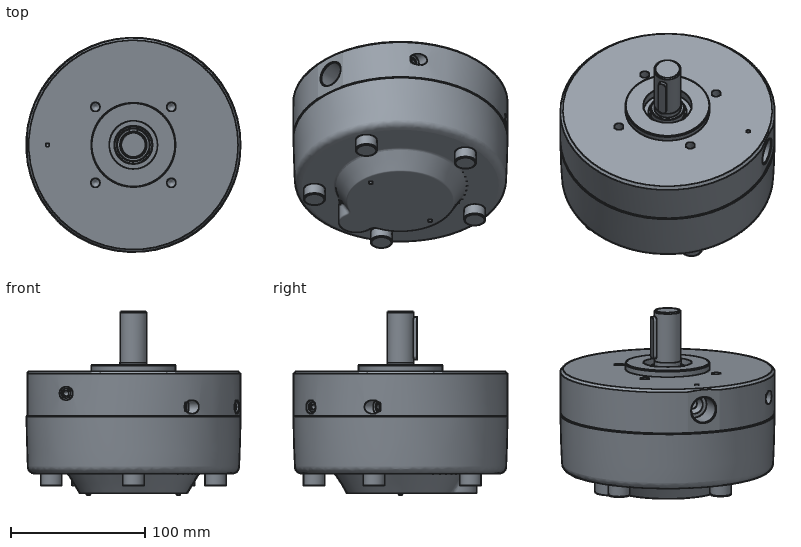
import cadquery as cq
import math

SHAFT_END_Z = 44.6
SPIGOT_HEIGHT = 5.0
JOINT_Z = -33.1
DRUM_BOTTOM_Z = -76.4
SCREW_END_Z = -85.5
HUB_BOTTOM_Z = -91.0
TOTAL_LENGTH = 137.1

BODY_RADIUS = 80.0
FLANGE_CHAMFER = 2.0
FLAT_DISTANCE = 79.0
SPIGOT_RADIUS = 31.5
SPIGOT_CHAMFER = 0.5
SPIGOT_CHAMFER_HEIGHT = 1.0

DRUM_TOP_CHAMFER = 0.5
DRUM_NECK_HEIGHT = 0.4
DRUM_MIDDLE_RADIUS = 79.5
DRUM_BOTTOM_RADIUS = 78.6
DRUM_FILLET = 5.5
HUB_TOP_RADIUS = 48.8
HUB_BOTTOM_RADIUS = 40.0
HUB_FLARE = 1.2
HUB_EDGE_FILLET = 1.3
LUG_RADIUS = 13.3
LUG_BLEND_RADIUS = 3.0
LUG_REACH = 57.0
NUB_RADIUS = 1.6
NUB_OFFSET = 33.5

SCREW_COUNT = 5
SCREW_PITCH_RADIUS = 64.4
SCREW_HEAD_RADIUS = 8.0
SCREW_CHAMFER = 0.7

SHAFT_RADIUS = 10.0
SHAFT_CHAMFER = 1.0
JOURNAL_RADIUS = 10.05
JOURNAL_TOP_Z = 6.5
KEY_WIDTH = 6.0
KEY_LENGTH = 32.0
KEY_BOTTOM_Z = 8.5
KEY_REACH = 12.4

RECESS_RADIUS = 18.0
RECESS_FLOOR_Z = -2.0
SEAL_OUTER_RADIUS = 14.3
SEAL_STEP = 0.4
SEAL_LIP_RADIUS = 12.4
SEAL_LIP_TOP_Z = 2.4
SEAL_GROOVE_Z = -3.8

MOUNT_PITCH_RADIUS = 40.0
MOUNT_HOLE_RADIUS = 3.4
MOUNT_HOLE_DEPTH = 15.0
PIN_HOLE_X = -64.0
PIN_HOLE_RADIUS = 1.4
PIN_HOLE_DEPTH = 5.0
DRILL_HALF_ANGLE = math.radians(59.0)

PORT_Z = -16.5
PORT_RIM_RADIUS = 10.1
PORT_RADIUS = 9.5
PORT_DEPTH = 20.0
PORT_THROAT_RADIUS = 6.5
PORT_THROAT_END_RADIUS = 3.8
PORT_THROAT_LENGTH = 5.0

PLUG_RADIUS = 5.0
PLUG_BORE_DEPTH = 4.3
PLUG_SEAT_RADIUS = 3.5
PLUG_SEAT_DEPTH = 5.4
PLUG_CORE_RADIUS = 2.1
PLUG_CORE_DEPTH = 8.0
PLUG_ENTRY_LENGTH = 12.0
UPPER_PLUG_Z = PORT_Z
LOWER_PLUG_Z = -26.6
PLUG_HOLES = [
    (-128.8, 90.0, UPPER_PLUG_Z),
    (-56.8, 162.0, LOWER_PLUG_Z),
    (-15.2, 126.0, LOWER_PLUG_Z),
]


def turned(profile):
    """Solid of revolution about Z from (radius, z) points."""
    return cq.Workplane("XZ").polyline(profile).close().revolve(360, (0, 0, 0), (0, 1, 0))


def drilled(profile, origin, direction):
    """Hole cutter from (radius, depth) points, running from origin along direction."""
    solid = cq.Workplane("XY").polyline(profile).close().revolve(360, (0, 0, 0), (0, 1, 0))
    cutter = solid.rotate((0, 0, 0), (1, 0, 0), 90).val()
    return cutter.moved(cq.Location(cq.Plane(origin=origin, normal=direction)))


def drill_tip(radius):
    """Length of the conical end left by a drill."""
    return radius / math.tan(DRILL_HALF_ANGLE)


def blind_hole(x, y, radius, depth):
    """Drilled hole going down from the mounting face."""
    return turned([
        (0, 0), (radius, 0), (radius, -depth), (0, -depth - drill_tip(radius)),
    ]).translate((x, y, 0))


def make_flange():
    flange = turned([
        (0, JOINT_Z),
        (BODY_RADIUS, JOINT_Z),
        (BODY_RADIUS, -FLANGE_CHAMFER),
        (BODY_RADIUS - FLANGE_CHAMFER, 0),
        (SPIGOT_RADIUS, 0),
        (SPIGOT_RADIUS, SPIGOT_HEIGHT - SPIGOT_CHAMFER_HEIGHT),
        (SPIGOT_RADIUS - SPIGOT_CHAMFER, SPIGOT_HEIGHT),
        (0, SPIGOT_HEIGHT),
    ])
    beyond_flat = cq.Workplane("XY").box(
        BODY_RADIUS, 2 * BODY_RADIUS, 2 * abs(JOINT_Z)
    ).translate((-FLAT_DISTANCE - BODY_RADIUS / 2, 0, 0))
    return flange.cut(beyond_flat)


def make_drum():
    """Slightly barrelled drum with a narrow neck under the flange and a rounded bottom edge."""
    neck_z = JOINT_Z - DRUM_NECK_HEIGHT
    wall_top_z = neck_z - DRUM_TOP_CHAMFER
    middle_z = (wall_top_z + DRUM_BOTTOM_Z) / 2
    return (
        cq.Workplane("XZ")
        .moveTo(0, JOINT_Z)
        .lineTo(BODY_RADIUS - DRUM_TOP_CHAMFER, JOINT_Z)
        .lineTo(BODY_RADIUS - DRUM_TOP_CHAMFER, neck_z)
        .lineTo(BODY_RADIUS, wall_top_z)
        .threePointArc((DRUM_MIDDLE_RADIUS, middle_z), (DRUM_BOTTOM_RADIUS, DRUM_BOTTOM_Z))
        .lineTo(0, DRUM_BOTTOM_Z)
        .close()
        .revolve(360, (0, 0, 0), (0, 1, 0))
        .faces("<Z")
        .edges()
        .fillet(DRUM_FILLET)
    )


def make_hub():
    """Tapered hub with a flared root, a rounded lug and two nubs."""
    taper = math.atan2(HUB_TOP_RADIUS - HUB_BOTTOM_RADIUS, DRUM_BOTTOM_Z - HUB_BOTTOM_Z)
    flare_start = (
        HUB_TOP_RADIUS - HUB_FLARE * math.sin(taper),
        DRUM_BOTTOM_Z - HUB_FLARE * math.cos(taper),
    )
    flare_end = (HUB_TOP_RADIUS + HUB_FLARE, DRUM_BOTTOM_Z)
    cone = (
        cq.Workplane("XZ")
        .moveTo(0, HUB_BOTTOM_Z)
        .lineTo(HUB_BOTTOM_RADIUS, HUB_BOTTOM_Z)
        .lineTo(*flare_start)
        .tangentArcPoint(flare_end, relative=False)
        .lineTo(0, DRUM_BOTTOM_Z)
        .close()
        .revolve(360, (0, 0, 0), (0, 1, 0))
    )
    lug_centre = LUG_REACH - LUG_RADIUS
    lug = (
        cq.Workplane("XY", origin=(0, 0, HUB_BOTTOM_Z))
        .moveTo(-LUG_RADIUS, 0)
        .lineTo(LUG_RADIUS, 0)
        .lineTo(LUG_RADIUS, lug_centre)
        .threePointArc((0, LUG_REACH), (-LUG_RADIUS, lug_centre))
        .close()
        .extrude(DRUM_BOTTOM_Z - HUB_BOTTOM_Z)
    )
    seam_box = cq.selectors.BoxSelector(
        (-LUG_RADIUS - 1, 1, HUB_BOTTOM_Z + 1),
        (LUG_RADIUS + 1, LUG_REACH - LUG_RADIUS, DRUM_BOTTOM_Z - HUB_FLARE),
    )
    hub = cone.union(lug)
    hub = hub.edges(seam_box).fillet(LUG_BLEND_RADIUS).faces("<Z").edges().fillet(HUB_EDGE_FILLET)
    nub_z = SHAFT_END_Z - TOTAL_LENGTH + NUB_RADIUS
    for x in (-NUB_OFFSET, NUB_OFFSET):
        hub = hub.union(cq.Workplane("XY").sphere(NUB_RADIUS).translate((x, 0, nub_z)))
    return hub


def make_screw_heads():
    return (
        cq.Workplane("XY", origin=(0, 0, SCREW_END_Z))
        .polarArray(SCREW_PITCH_RADIUS, -90, 360, SCREW_COUNT)
        .circle(SCREW_HEAD_RADIUS)
        .extrude(DRUM_BOTTOM_Z - SCREW_END_Z)
        .faces("<Z")
        .edges()
        .chamfer(SCREW_CHAMFER)
    )


def make_shaft():
    """Shaft with a slightly larger journal at its foot and a round-ended key."""
    shaft = turned([
        (0, SEAL_LIP_TOP_Z),
        (JOURNAL_RADIUS, SEAL_LIP_TOP_Z),
        (JOURNAL_RADIUS, JOURNAL_TOP_Z),
        (SHAFT_RADIUS, JOURNAL_TOP_Z),
        (SHAFT_RADIUS, SHAFT_END_Z - SHAFT_CHAMFER),
        (SHAFT_RADIUS - SHAFT_CHAMFER, SHAFT_END_Z),
        (0, SHAFT_END_Z),
    ])
    key = (
        cq.Workplane("XZ")
        .center(0, KEY_BOTTOM_Z + KEY_LENGTH / 2)
        .slot2D(KEY_LENGTH, KEY_WIDTH, 90)
        .extrude(-KEY_REACH)
    )
    return shaft.union(key)


def make_seal_recess():
    """Recess around the shaft with a funnelled groove outside the raised seal lip."""
    return turned([
        (0, SEAL_LIP_TOP_Z),
        (SEAL_LIP_RADIUS - SEAL_STEP, SEAL_LIP_TOP_Z),
        (SEAL_LIP_RADIUS, SEAL_LIP_TOP_Z - SEAL_STEP),
        (SEAL_LIP_RADIUS, SEAL_GROOVE_Z),
        (SEAL_OUTER_RADIUS - SEAL_STEP, RECESS_FLOOR_Z - SEAL_STEP),
        (SEAL_OUTER_RADIUS, RECESS_FLOOR_Z - SEAL_STEP),
        (SEAL_OUTER_RADIUS, RECESS_FLOOR_Z),
        (RECESS_RADIUS, RECESS_FLOOR_Z),
        (RECESS_RADIUS, SPIGOT_HEIGHT),
        (0, SPIGOT_HEIGHT),
    ])


def mounting_face_holes():
    holes = [blind_hole(PIN_HOLE_X, 0, PIN_HOLE_RADIUS, PIN_HOLE_DEPTH)]
    offset = MOUNT_PITCH_RADIUS / math.sqrt(2)
    for x in (-offset, offset):
        for y in (-offset, offset):
            holes.append(blind_hole(x, y, MOUNT_HOLE_RADIUS, MOUNT_HOLE_DEPTH))
    return holes


def make_port():
    throat_end = PORT_DEPTH + PORT_THROAT_LENGTH
    profile = [
        (0, 0),
        (PORT_RIM_RADIUS, 0),
        (PORT_RADIUS, PORT_RIM_RADIUS - PORT_RADIUS),
        (PORT_RADIUS, PORT_DEPTH),
        (PORT_THROAT_RADIUS, PORT_DEPTH),
        (PORT_THROAT_END_RADIUS, throat_end),
        (0, throat_end + drill_tip(PORT_THROAT_END_RADIUS)),
    ]
    return drilled(profile, (-FLAT_DISTANCE, 0, PORT_Z), (1, 0, 0))


def make_plug_hole(position, heading, z):
    """Slanted stepped hole that enters the rim at the given angle."""
    profile = [
        (0, -PLUG_ENTRY_LENGTH),
        (PLUG_RADIUS, -PLUG_ENTRY_LENGTH),
        (PLUG_RADIUS, PLUG_BORE_DEPTH),
        (PLUG_SEAT_RADIUS, PLUG_SEAT_DEPTH),
        (PLUG_CORE_RADIUS, PLUG_SEAT_DEPTH),
        (PLUG_CORE_RADIUS, PLUG_CORE_DEPTH),
        (0, PLUG_CORE_DEPTH + drill_tip(PLUG_CORE_RADIUS)),
    ]
    around = math.radians(position)
    entry = (BODY_RADIUS * math.cos(around), BODY_RADIUS * math.sin(around), z)
    towards = math.radians(heading)
    return drilled(profile, entry, (math.cos(towards), math.sin(towards), 0))


flange = make_flange().cut(make_seal_recess()).cut(make_port())
for hole in mounting_face_holes():
    flange = flange.cut(hole)
for position, heading, z in PLUG_HOLES:
    flange = flange.cut(make_plug_hole(position, heading, z))

result = flange.union(make_drum()).union(make_hub()).union(make_screw_heads()).union(make_shaft())